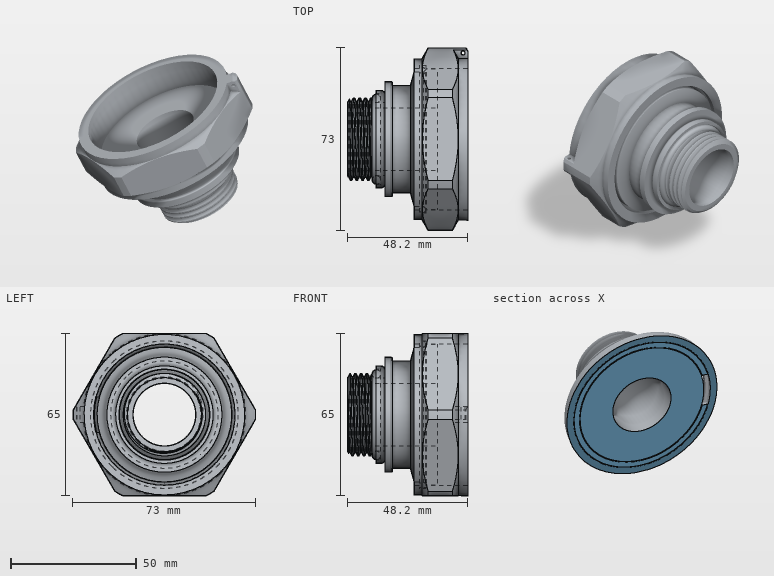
import cadquery as cq
import math


total_length = 48.2
shoulder_start = 14.87
nut_front = 26.55
nut_bore_radius = 28.25

bore_radius = 12.5
thread_pitch = 2.309
thread_major_radius = 16.5
thread_minor_radius = 15.145
thread_half_angle = math.radians(27.5)
thread_root_flat = 0.385
thread_phase = 0.79
thread_bar_overrun = 6.0
lead_chamfer_radius = 14.8
lead_chamfer_slope = math.tan(math.radians(30))
undercut_start = 9.8
undercut_radius = 14.6

collar_radius = 23.0
collar_end = 17.9
collar_fillet = 0.5
neck_radius = 21.5
neck_end = 25.1
head_slope = math.tan(math.radians(15))
head_front_radius = 26.9
head_front_end = neck_end + (head_front_radius - neck_radius) * head_slope
head_radius = 28.1
head_end = 36.0

oring_section_radius = 1.7
oring_mean_radius = undercut_radius + oring_section_radius
oring_center = undercut_start + oring_section_radius
backup_start = 11.36
backup_radius = 19.5
backup_fillet = 1.5
backup_recess_radius = 18.2
backup_recess_floor = oring_center + oring_section_radius

wire_radius = 1.25
wire_mean_radius = nut_bore_radius
wire_inset = 3.4
wire_center = nut_front + wire_inset
wire_gap_half_width = 7.15

across_flats = 65.0
across_corners = 73.0
corner_radius = across_corners / 2
nut_front_radius = 32.1
nut_rear_radius = 32.4
nut_rim_radius = 32.5
hex_start = 29.65
hex_end = 44.25
hex_chamfer_slope = math.tan(math.radians(30))
wire_clearance = 0.05
groove_half_width = wire_radius + wire_clearance
groove_radius = wire_mean_radius + wire_radius + wire_clearance

lug_half_width = 3.17
lug_chamfer_length = 0.85
lug_hole_radius = 0.75
lug_hole_y = 34.46
lug_hole_x = 46.15


def revolve_profile(profile):
    """Turn a closed (radius, axial) outline about the fitting's axis."""
    return profile.close().revolve(360, (0, 0, 0), (0, 1, 0))


def profile_at(radius, station):
    return cq.Workplane("XZ").moveTo(radius, station)


def cylinder(radius, start, end):
    return cq.Workplane("XY").workplane(offset=start).circle(radius).extrude(end - start)


def hexagon(start, end):
    """Hexagonal bar with corners on +/-Y, turned down at the corners."""
    sharp_corner_diameter = across_flats / math.cos(math.pi / 6)
    bar = (
        cq.Workplane("XY").workplane(offset=start)
        .polygon(6, sharp_corner_diameter).extrude(end - start)
        .rotate((0, 0, 0), (0, 0, 1), 30)
    )
    return bar.intersect(cylinder(corner_radius, start, end))


def lay_along_x(body):
    return body.rotate((0, 0, 0), (0, 1, 0), 90)


def make_thread_groove():
    """Helical V-groove that runs in from before the end face and out in the undercut."""
    groove_start = thread_phase - 2 * thread_pitch
    groove_length = oring_center - groove_start
    overshoot = 0.1
    outer_radius = thread_major_radius + overshoot
    root_half = thread_root_flat / 2
    mouth_half = root_half + (outer_radius - thread_minor_radius) * math.tan(thread_half_angle)
    path = cq.Wire.makeHelix(thread_pitch, groove_length, thread_minor_radius)
    groove = (
        cq.Workplane("XZ")
        .polyline([
            (thread_minor_radius, -root_half),
            (outer_radius, -mouth_half),
            (outer_radius, mouth_half),
            (thread_minor_radius, root_half),
        ])
        .close()
        .sweep(cq.Workplane(path), isFrenet=True)
    )
    return groove.translate((0, 0, groove_start))


def make_threaded_end():
    """Threaded tube with a 30 degree lead chamfer, up to the undercut."""
    bar = cylinder(thread_major_radius, -thread_bar_overrun, undercut_start + thread_bar_overrun)
    envelope_radius = thread_major_radius + 1.0
    chamfer_end = (envelope_radius - lead_chamfer_radius) * lead_chamfer_slope
    envelope = (
        profile_at(bore_radius, 0)
        .lineTo(lead_chamfer_radius, 0)
        .lineTo(envelope_radius, chamfer_end)
        .lineTo(envelope_radius, undercut_start)
        .lineTo(bore_radius, undercut_start)
    )
    return bar.cut(make_thread_groove()).intersect(revolve_profile(envelope))


def make_spigot():
    wire_contact = wire_radius * math.sin(math.pi / 4)
    cone_offset = wire_center + wire_contact - (wire_mean_radius - wire_contact)
    outline = (
        profile_at(bore_radius, undercut_start)
        .lineTo(undercut_radius, undercut_start)
        .lineTo(undercut_radius, shoulder_start)
        .lineTo(collar_radius, shoulder_start)
        .lineTo(collar_radius, collar_end - collar_fillet)
        .radiusArc((collar_radius - collar_fillet, collar_end), -collar_fillet)
        .lineTo(neck_radius, collar_end)
        .lineTo(neck_radius, neck_end)
        .lineTo(head_front_radius, head_front_end)
        .lineTo(head_front_radius, cone_offset + head_front_radius)
        .lineTo(head_radius, cone_offset + head_radius)
        .lineTo(head_radius, head_end)
        .lineTo(bore_radius, head_end)
    )
    return lay_along_x(revolve_profile(outline).union(make_threaded_end()))


def make_oring():
    section = cq.Workplane("XZ").center(oring_mean_radius, oring_center).circle(oring_section_radius)
    return lay_along_x(section.revolve(360, (-oring_mean_radius, 0, 0), (-oring_mean_radius, 1, 0)))


def make_backup_ring():
    outline = (
        profile_at(backup_recess_radius, backup_start)
        .lineTo(backup_radius, backup_start)
        .lineTo(backup_radius, shoulder_start - backup_fillet)
        .radiusArc((backup_radius - backup_fillet, shoulder_start), -backup_fillet)
        .lineTo(undercut_radius, shoulder_start)
        .lineTo(undercut_radius, backup_recess_floor)
        .lineTo(backup_recess_radius, backup_recess_floor)
    )
    return lay_along_x(revolve_profile(outline))


def make_snap_ring():
    section = cq.Workplane("XZ").center(wire_mean_radius, wire_center).circle(wire_radius)
    ring = section.revolve(360, (-wire_mean_radius, 0, 0), (-wire_mean_radius, 1, 0))
    gap = cq.Workplane("XY").box(
        2 * wire_gap_half_width, 2 * wire_mean_radius, 4 * wire_radius, centered=(True, False, True)
    )
    return lay_along_x(ring.cut(gap.translate((0, 0, wire_center))))


def make_hex_section():
    """Hexagon with both ends chamfered at 30 degrees."""
    chamfer_length = (corner_radius - nut_front_radius) * hex_chamfer_slope
    rear_chamfer_length = (corner_radius - nut_rear_radius) * hex_chamfer_slope
    envelope = (
        profile_at(0, hex_start)
        .lineTo(nut_front_radius, hex_start)
        .lineTo(corner_radius, hex_start + chamfer_length)
        .lineTo(corner_radius, hex_end - rear_chamfer_length)
        .lineTo(nut_rear_radius, hex_end)
        .lineTo(0, hex_end)
    )
    return hexagon(hex_start, hex_end).intersect(revolve_profile(envelope))


def make_lug():
    """Strip of the +Y corner carried on to the rear face, with a hole for sealing wire."""
    lug_start = (hex_start + hex_end) / 2
    chamfer_depth = lug_chamfer_length / hex_chamfer_slope
    envelope = (
        profile_at(0, lug_start)
        .lineTo(corner_radius, lug_start)
        .lineTo(corner_radius, total_length - lug_chamfer_length)
        .lineTo(corner_radius - chamfer_depth, total_length)
        .lineTo(0, total_length)
    )
    strip = (
        cq.Workplane("XY")
        .box(2 * lug_half_width, corner_radius, total_length, centered=(True, False, False))
    )
    hole = (
        cq.Workplane("YZ").center(lug_hole_y, lug_hole_x)
        .circle(lug_hole_radius).extrude(across_flats / 2, both=True)
    )
    lug = hexagon(lug_start, total_length).intersect(revolve_profile(envelope)).intersect(strip)
    return lug.cut(hole)


def make_nut():
    front_boss = cylinder(nut_front_radius, nut_front, hex_start)
    rear_boss = revolve_profile(
        profile_at(0, hex_end)
        .lineTo(nut_rear_radius, hex_end)
        .lineTo(nut_rim_radius, total_length)
        .lineTo(0, total_length)
    )
    body = make_hex_section().union(front_boss).union(rear_boss).union(make_lug())
    bore = cylinder(nut_bore_radius, nut_front, total_length)
    wire_groove = cylinder(
        groove_radius, wire_center - groove_half_width, wire_center + groove_half_width
    )
    return lay_along_x(body.cut(bore).cut(wire_groove))


spigot = make_spigot()
oring = make_oring()
backup_ring = make_backup_ring()
snap_ring = make_snap_ring()
nut = make_nut()

result = cq.Compound.makeCompound([
    spigot.solids().val(),
    oring.solids().val(),
    backup_ring.solids().val(),
    snap_ring.solids().val(),
    nut.solids().val(),
])